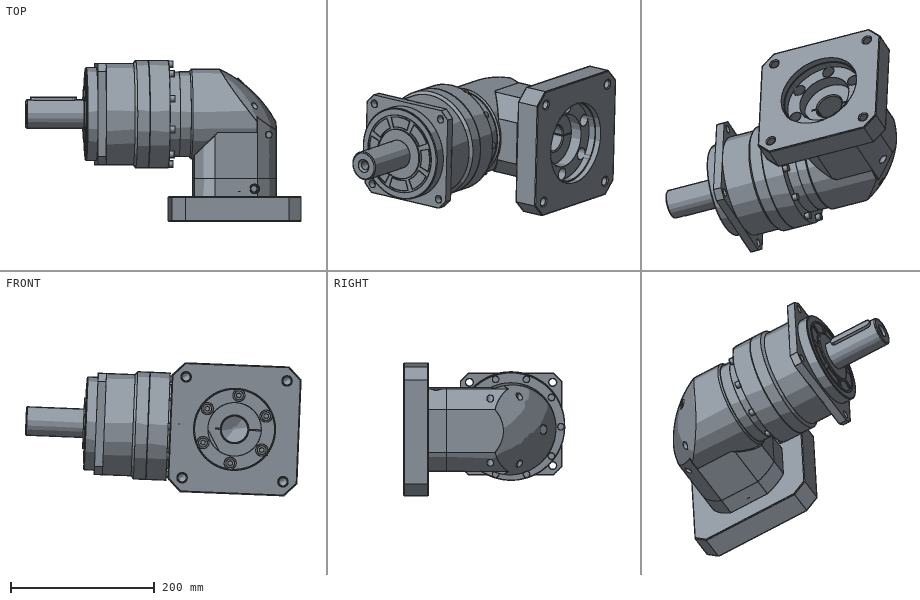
import cadquery as cq
import math

ROLL_ANGLE = 2.3

SHAFT_RADIUS = 20.0
SHAFT_TIP_X = -290.8
SHAFT_CHAMFER = 1.5
CENTRE_HOLE_RADIUS = 6.0
CENTRE_HOLE_DEPTH = 30.7
CENTRE_SINK_RADIUS = 9.2
KEY_START_X = -284.3
KEY_LENGTH = 64.0
KEY_WIDTH = 12.0
KEY_TOP_Y = 23.5

BOSS_FACE_X = -210.5
BOSS_RADIUS = 35.5
SEAL_FACE_X = -208.5
SEAL_RADIUS = 55.5
PILOT_FACE_X = -208.0
PILOT_RADIUS = 65.0
PILOT_CHAMFER = 1.0
FLANGE_FACE_X = -193.0
FLANGE_THICKNESS = 11.5
FLANGE_HALF = 70.5
FLANGE_CHAMFER = 11.5
FLANGE_HOLE_OFFSET = 58.0
FLANGE_HOLE_RADIUS = 5.5
HOUSING_RADIUS = 70.5
HOUSING_END_X = -141.5
CONE_END_X = -138.0
RING_RADIUS = 75.0
RING_SEAM_X = -121.0
RING_SEAM_WIDTH = 0.8
RING_SEAM_DEPTH = 0.5
RING_END_X = -92.5
NECK_RADIUS = 58.8
NECK_STEP_X = -77.5
NECK_REAR_RADIUS = 59.0
COLLAR_X = -62.5
COLLAR_CHAMFER = 2.3

WINDOW_COUNT = 8
WINDOW_INNER_RADIUS = 38.0
WINDOW_OUTER_RADIUS = 52.5
WINDOW_HALF_ANGLE = 18
WINDOW_DEPTH = 0.8

BOLT_COUNT = 10
BOLT_CIRCLE_RADIUS = 69.5
BOLT_HEAD_RADIUS = 4.5
BOLT_HEAD_HEIGHT = 7.0

ELBOW_RADIUS = 62.5
BARREL_END_X = 29.0
LEG_HALF = 57.2
LEG_RADIUS = 64.5
LEG_SEAM_Y = -90.0
CAP_AXIS_ANGLE = 45
CAP_APEX_OUT = 40.0
CAP_ARC_RADIUS = 168.3
CAP_GIRTH_RADIUS = 92.2
CAP_HALF_WIDTH = 90.3
CAP_HOLE_Z = 47.0
CAP_HOLE_SIDE = 10.5
CAP_HOLE_RADIUS = 5.0
CAP_HOLE_BOTTOM_OUT = 19.2
PLUG_SIDE = -25.0
PLUG_RADIUS = 7.0
PLUG_TOP_OUT = 38.8
LEG_HOLE_X = 46.0
LEG_HOLE_Y = -29.0
LEG_HOLE_RADIUS = 4.5
LEG_HOLE_FLOOR_Z = 34.5

PLATE_FACE_Y = -149.5
PLATE_THICKNESS = 34.5
PLATE_HALF = 90.0
PLATE_CORNER = 17.5
PLATE_EDGE_CHAMFER = 1.0
PLATE_HOLE_OFFSET = 70.3
PLATE_HOLE_RADIUS = 5.8
PLATE_HOLE_SINK_RADIUS = 7.3
PLATE_HOLE_DEPTH = 23.0
MOTOR_PILOT_RADIUS = 57.2
MOTOR_PILOT_DEPTH = 9.0
RECESS_RADIUS = 55.7
RECESS_DEPTH = 19.2

HUB_RADIUS = 37.3
HUB_FACE_DEPTH = 36.0
HUB_END_Y = -57.5
HUB_FLAT_DISTANCE = 33.0
HUB_FLAT_ANGLE = 210
HUB_BORE_RADIUS = 18.5
HUB_BORE_SINK_RADIUS = 20.0
HUB_BORE_DEPTH = 34.5
HUB_SLOT_WIDTH = 1.5
HUB_SLOT_RELIEF_X = -26.5
CLAMP_HOLE_X = 26.0
CLAMP_HOLE_Y = -104.0
ACCESS_HOLE_RADIUS = 6.5
CLAMP_HOLE_RADIUS = 4.5
CLAMP_HOLE_FLOOR_Z = 11.5

SCREW_COUNT = 6
SCREW_CIRCLE_RADIUS = 47.5
SCREW_START_ANGLE = 5
SCREW_HEAD_RADIUS = 6.0
SCREW_HEAD_HEIGHT = 6.0
SCREW_SHANK_RADIUS = 4.0
SCREW_END_Y = -73.0
SCREW_SOCKET_WIDTH = 6.0
SCREW_SOCKET_DEPTH = 3.5
COUNTERBORE_RADIUS = 8.5
COUNTERBORE_FLOOR_Y = -107.5

DRILL_POINT_ANGLE = 118
DRILL_POINT_SLOPE = 1 / math.tan(math.radians(DRILL_POINT_ANGLE / 2))
PLATE_BACK_Y = PLATE_FACE_Y + PLATE_THICKNESS
HUB_FACE_Y = PLATE_FACE_Y + HUB_FACE_DEPTH

X_AXIS = cq.Vector(1, 0, 0)
Y_AXIS = cq.Vector(0, 1, 0)
Z_AXIS = cq.Vector(0, 0, 1)


def rod(start, direction, length, radius):
    return cq.Workplane(cq.Solid.makeCylinder(radius, length, cq.Vector(*start), direction))


def rod_along_y(x, z, start_y, end_y, radius):
    return rod((x, start_y, z), Y_AXIS, end_y - start_y, radius)


def sunk_drill(radius, sink_radius, depth):
    """Cutter for a countersunk blind hole with a drill point, starting at the origin along +Z."""
    profile = [
        (0, 0),
        (sink_radius, 0),
        (radius, sink_radius - radius),
        (radius, depth),
        (0, depth + radius * DRILL_POINT_SLOPE),
    ]
    return cq.Workplane("XZ").polyline(profile).close().revolve(360, (0, 0), (0, 1))


def drill_along_y(radius, sink_radius, depth):
    return sunk_drill(radius, sink_radius, depth).rotate((0, 0, 0), (1, 0, 0), -90)


def drill_along_x(radius, sink_radius, depth):
    return sunk_drill(radius, sink_radius, depth).rotate((0, 0, 0), (0, 1, 0), 90)


def screw_positions():
    for i in range(SCREW_COUNT):
        angle = math.radians(SCREW_START_ANGLE + i * 360 / SCREW_COUNT)
        yield SCREW_CIRCLE_RADIUS * math.sin(angle), SCREW_CIRCLE_RADIUS * math.cos(angle)


def square_positions(offset):
    return [(i * offset, j * offset) for i in (-1, 1) for j in (-1, 1)]


def make_turned_stage():
    """Shaft, seal cover, housing, ring gear and neck as one turned profile about X."""
    profile = [
        (SHAFT_TIP_X, 0),
        (SHAFT_TIP_X, SHAFT_RADIUS - SHAFT_CHAMFER),
        (SHAFT_TIP_X + SHAFT_CHAMFER, SHAFT_RADIUS),
        (BOSS_FACE_X, SHAFT_RADIUS),
        (BOSS_FACE_X, BOSS_RADIUS),
        (SEAL_FACE_X, BOSS_RADIUS),
        (SEAL_FACE_X, SEAL_RADIUS),
        (PILOT_FACE_X, SEAL_RADIUS),
        (PILOT_FACE_X, PILOT_RADIUS - PILOT_CHAMFER),
        (PILOT_FACE_X + PILOT_CHAMFER, PILOT_RADIUS),
        (FLANGE_FACE_X, PILOT_RADIUS),
        (FLANGE_FACE_X, HOUSING_RADIUS),
        (HOUSING_END_X, HOUSING_RADIUS),
        (CONE_END_X, RING_RADIUS),
        (RING_SEAM_X, RING_RADIUS),
        (RING_SEAM_X + RING_SEAM_WIDTH / 2, RING_RADIUS - RING_SEAM_DEPTH),
        (RING_SEAM_X + RING_SEAM_WIDTH, RING_RADIUS),
        (RING_END_X, RING_RADIUS),
        (RING_END_X, NECK_RADIUS),
        (NECK_STEP_X, NECK_RADIUS),
        (NECK_STEP_X, NECK_REAR_RADIUS),
        (COLLAR_X, NECK_REAR_RADIUS),
        (COLLAR_X, ELBOW_RADIUS - COLLAR_CHAMFER),
        (COLLAR_X + COLLAR_CHAMFER, ELBOW_RADIUS),
        (-LEG_HALF, ELBOW_RADIUS),
        (-LEG_HALF, 0),
    ]
    return cq.Workplane("XZ").polyline(profile).close().revolve(360, (0, 0), (1, 0))


def make_key():
    return (
        cq.Workplane("XZ", origin=(KEY_START_X + KEY_LENGTH / 2, 0, 0))
        .slot2D(KEY_LENGTH, KEY_WIDTH)
        .extrude(-KEY_TOP_Y)
    )


def make_output_flange():
    size = 2 * FLANGE_HALF
    return (
        cq.Workplane("YZ", origin=(FLANGE_FACE_X, 0, 0))
        .rect(size, size)
        .extrude(FLANGE_THICKNESS)
        .edges("|X")
        .chamfer(FLANGE_CHAMFER)
    )


def make_flange_holes():
    """Mounting holes through the flange corners, outside the round housing."""
    return (
        cq.Workplane("YZ", origin=(FLANGE_FACE_X, 0, 0))
        .pushPoints(square_positions(FLANGE_HOLE_OFFSET))
        .circle(FLANGE_HOLE_RADIUS)
        .extrude(FLANGE_THICKNESS)
    )


def make_seal_windows():
    def polar(radius, degrees):
        angle = math.radians(degrees)
        return radius * math.cos(angle), radius * math.sin(angle)

    window = (
        cq.Workplane("YZ", origin=(SEAL_FACE_X, 0, 0))
        .moveTo(*polar(WINDOW_INNER_RADIUS, -WINDOW_HALF_ANGLE))
        .lineTo(*polar(WINDOW_OUTER_RADIUS, -WINDOW_HALF_ANGLE))
        .threePointArc((WINDOW_OUTER_RADIUS, 0), polar(WINDOW_OUTER_RADIUS, WINDOW_HALF_ANGLE))
        .lineTo(*polar(WINDOW_INNER_RADIUS, WINDOW_HALF_ANGLE))
        .threePointArc((WINDOW_INNER_RADIUS, 0), polar(WINDOW_INNER_RADIUS, -WINDOW_HALF_ANGLE))
        .close()
        .extrude(WINDOW_DEPTH)
    )
    windows = cq.Workplane()
    for i in range(WINDOW_COUNT):
        windows = windows.add(window.rotate((0, 0, 0), (1, 0, 0), i * 360 / WINDOW_COUNT))
    return windows.combine()


def make_ring_bolts():
    return (
        cq.Workplane("YZ", origin=(RING_END_X, 0, 0))
        .polarArray(BOLT_CIRCLE_RADIUS, 0, 360, BOLT_COUNT)
        .circle(BOLT_HEAD_RADIUS)
        .extrude(BOLT_HEAD_HEIGHT)
    )


def make_leg_section(start_y, end_y):
    """Square leg about Y whose corners are rounded to a larger circle."""
    length = end_y - start_y
    side = 2 * LEG_HALF
    square = cq.Workplane("XY").box(side, length, side).translate((0, start_y + length / 2, 0))
    return square.intersect(rod_along_y(0, 0, start_y, end_y, LEG_RADIUS))


def make_elbow_corner_cutter():
    """Block over the outer corner with a barrel taken out of it, so that the barrel shapes the cap."""
    barrel_centre_out = CAP_APEX_OUT - CAP_GIRTH_RADIUS
    end_drop = CAP_ARC_RADIUS - math.sqrt(CAP_ARC_RADIUS**2 - CAP_HALF_WIDTH**2)
    end_out = CAP_APEX_OUT - end_drop
    barrel = (
        cq.Workplane("XY")
        .moveTo(barrel_centre_out, -CAP_HALF_WIDTH)
        .lineTo(end_out, -CAP_HALF_WIDTH)
        .threePointArc((CAP_APEX_OUT, 0), (end_out, CAP_HALF_WIDTH))
        .lineTo(barrel_centre_out, CAP_HALF_WIDTH)
        .close()
        .revolve(360, (barrel_centre_out, 0), (barrel_centre_out, 1))
    )
    block_size = 2 * CAP_HALF_WIDTH
    block = cq.Workplane("XY").box(block_size, block_size, block_size).translate((CAP_HALF_WIDTH, 0, 0))
    return block.cut(barrel).rotate((0, 0, 0), (0, 0, 1), CAP_AXIS_ANGLE)


def rod_along_cap_axis(side, z, start_out, end_out, radius):
    """Cylinder along the 45 degree axis; side is measured square to it in the XY plane."""
    upright = rod((start_out, -side, z), X_AXIS, end_out - start_out, radius)
    return upright.rotate((0, 0, 0), (0, 0, 1), CAP_AXIS_ANGLE)


def make_elbow():
    barrel = rod((-LEG_HALF, 0, 0), X_AXIS, BARREL_END_X + LEG_HALF, ELBOW_RADIUS)
    mitre_reach = 2 * LEG_RADIUS
    mitre = (
        cq.Workplane("XY", origin=(0, 0, -LEG_RADIUS))
        .polyline([(-mitre_reach, -mitre_reach), (mitre_reach, -mitre_reach), (mitre_reach, mitre_reach)])
        .close()
        .extrude(2 * LEG_RADIUS)
    )
    leg = make_leg_section(LEG_SEAM_Y, LEG_RADIUS).intersect(mitre)
    elbow = barrel.union(leg).cut(make_elbow_corner_cutter())
    elbow = elbow.union(rod_along_cap_axis(PLUG_SIDE, 0, CAP_HOLE_BOTTOM_OUT, PLUG_TOP_OUT, PLUG_RADIUS))
    for face in (-1, 1):
        elbow = elbow.cut(
            rod_along_cap_axis(
                CAP_HOLE_SIDE, face * CAP_HOLE_Z, CAP_HOLE_BOTTOM_OUT, CAP_APEX_OUT, CAP_HOLE_RADIUS
            )
        )
        leg_hole_start = (LEG_HOLE_X, LEG_HOLE_Y, face * LEG_HOLE_FLOOR_Z)
        elbow = elbow.cut(rod(leg_hole_start, Z_AXIS * face, LEG_RADIUS, LEG_HOLE_RADIUS))
    return elbow


def make_gearbox():
    gearbox = make_turned_stage().union(make_key()).union(make_output_flange())
    gearbox = gearbox.cut(make_flange_holes()).cut(make_seal_windows())
    centre_hole = drill_along_x(CENTRE_HOLE_RADIUS, CENTRE_SINK_RADIUS, CENTRE_HOLE_DEPTH)
    gearbox = gearbox.cut(centre_hole.translate((SHAFT_TIP_X, 0, 0)))
    gearbox = gearbox.union(make_ring_bolts()).union(make_elbow())
    gearbox = gearbox.cut(rod_along_y(0, 0, LEG_SEAM_Y, HUB_END_Y, HUB_RADIUS))
    for x, z in screw_positions():
        gearbox = gearbox.cut(rod_along_y(x, z, LEG_SEAM_Y, SCREW_END_Y, SCREW_SHANK_RADIUS))
    return gearbox


def make_motor_adapter():
    size = 2 * PLATE_HALF
    plate = (
        cq.Workplane("XZ", origin=(0, PLATE_BACK_Y, 0))
        .rect(size, size)
        .extrude(PLATE_THICKNESS)
        .edges("|Y")
        .chamfer(PLATE_CORNER)
        .faces("<Y or >Y")
        .edges()
        .chamfer(PLATE_EDGE_CHAMFER)
    )
    adapter = plate.union(make_leg_section(PLATE_BACK_Y, LEG_SEAM_Y))

    pilot_floor_y = PLATE_FACE_Y + MOTOR_PILOT_DEPTH
    recess_floor_y = PLATE_FACE_Y + RECESS_DEPTH
    adapter = adapter.cut(rod_along_y(0, 0, PLATE_FACE_Y, pilot_floor_y, MOTOR_PILOT_RADIUS))
    adapter = adapter.cut(rod_along_y(0, 0, pilot_floor_y, recess_floor_y, RECESS_RADIUS))
    adapter = adapter.cut(rod_along_y(0, 0, recess_floor_y, LEG_SEAM_Y, HUB_RADIUS))

    plate_hole = drill_along_y(PLATE_HOLE_RADIUS, PLATE_HOLE_SINK_RADIUS, PLATE_HOLE_DEPTH)
    for x, z in square_positions(PLATE_HOLE_OFFSET):
        adapter = adapter.cut(plate_hole.translate((x, PLATE_FACE_Y, z)))
    for x, z in screw_positions():
        adapter = adapter.cut(rod_along_y(x, z, pilot_floor_y, COUNTERBORE_FLOOR_Y, COUNTERBORE_RADIUS))
        adapter = adapter.cut(rod_along_y(x, z, COUNTERBORE_FLOOR_Y, LEG_SEAM_Y, SCREW_SHANK_RADIUS))

    access_hole = rod((CLAMP_HOLE_X, CLAMP_HOLE_Y, 0), Z_AXIS, LEG_RADIUS, ACCESS_HOLE_RADIUS)
    return adapter.cut(access_hole)


def make_clamp_hub():
    hub_length = HUB_END_Y - HUB_FACE_Y
    middle_y = HUB_FACE_Y + hub_length / 2
    hub = rod_along_y(0, 0, HUB_FACE_Y, HUB_END_Y, HUB_RADIUS)

    flat_block = (
        cq.Workplane("XY")
        .box(2 * HUB_RADIUS, hub_length, 2 * HUB_RADIUS)
        .translate((HUB_FLAT_DISTANCE + HUB_RADIUS, middle_y, 0))
        .rotate((0, 0, 0), (0, 1, 0), -HUB_FLAT_ANGLE)
    )
    hub = hub.cut(flat_block)

    bore = drill_along_y(HUB_BORE_RADIUS, HUB_BORE_SINK_RADIUS, HUB_BORE_DEPTH)
    hub = hub.cut(bore.translate((0, HUB_FACE_Y, 0)))
    slit_length = HUB_RADIUS - HUB_SLOT_RELIEF_X
    slit = (
        cq.Workplane("XY")
        .box(slit_length, HUB_BORE_DEPTH, HUB_SLOT_WIDTH)
        .translate((HUB_SLOT_RELIEF_X + slit_length / 2, HUB_FACE_Y + HUB_BORE_DEPTH / 2, 0))
    )
    hub = hub.cut(slit)

    clamp_hole_start = (CLAMP_HOLE_X, CLAMP_HOLE_Y, CLAMP_HOLE_FLOOR_Z)
    return hub.cut(rod(clamp_hole_start, Z_AXIS, HUB_RADIUS, CLAMP_HOLE_RADIUS))


def make_adapter_screw(x, z):
    head_top_y = COUNTERBORE_FLOOR_Y - SCREW_HEAD_HEIGHT
    head = rod_along_y(x, z, head_top_y, COUNTERBORE_FLOOR_Y, SCREW_HEAD_RADIUS)
    shank = rod_along_y(x, z, COUNTERBORE_FLOOR_Y, SCREW_END_Y, SCREW_SHANK_RADIUS)
    socket = (
        cq.Workplane("XZ", origin=(x, head_top_y, z))
        .polygon(6, SCREW_SOCKET_WIDTH, circumscribed=True)
        .extrude(-SCREW_SOCKET_DEPTH)
    )
    return head.union(shank).cut(socket)


gearbox = make_gearbox()
motor_adapter = make_motor_adapter()
clamp_hub = make_clamp_hub()
adapter_screws = [make_adapter_screw(x, z) for x, z in screw_positions()]

bodies = [gearbox, motor_adapter, clamp_hub, *adapter_screws]
result = cq.Compound.makeCompound(
    [body.rotate((0, 0, 0), (0, 1, 0), ROLL_ANGLE).solids().val() for body in bodies]
)